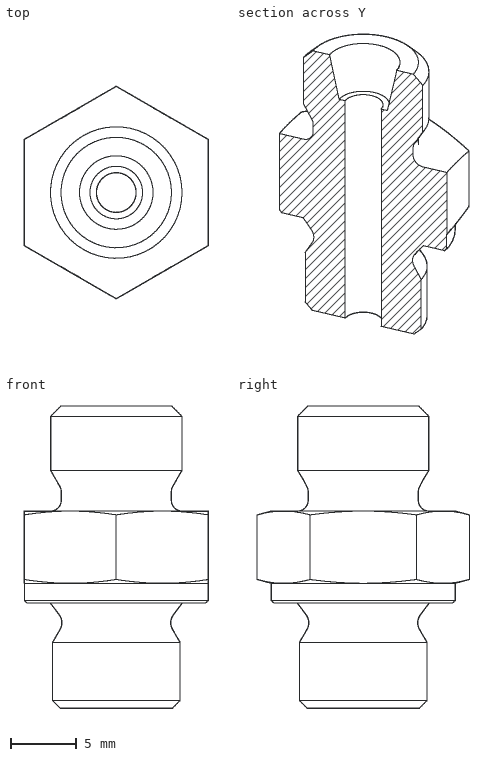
import math

import cadquery as cq

LOWER_STUD_LENGTH = 8.0
FLANGE_HEIGHT = 1.5
HEX_HEIGHT = 5.5
UPPER_STUD_LENGTH = 8.0
FLANGE_TOP = LOWER_STUD_LENGTH + FLANGE_HEIGHT
HEX_TOP = FLANGE_TOP + HEX_HEIGHT
TOTAL_HEIGHT = HEX_TOP + UPPER_STUD_LENGTH

HEX_ACROSS_FLATS = 14.0
HEX_ACROSS_CORNERS = HEX_ACROSS_FLATS / math.cos(math.radians(30))
HEX_CHAMFER_ANGLE = 15.0
HEX_FACE_RADIUS = 6.99
FLANGE_RADIUS = HEX_ACROSS_FLATS / 2
FLANGE_CHAMFER = 0.2

UPPER_STUD_RADIUS = 5.0
UPPER_NECK_RADIUS = 4.2
UPPER_END_CHAMFER = 0.8
UPPER_FILLET_RADIUS = 0.8
UPPER_NECK_STRAIGHT = 0.68

LOWER_STUD_RADIUS = 9.73 / 2
LOWER_END_CHAMFER = 0.6
LOWER_THREAD_LENGTH = 5.0
GROOVE_THROAT_RADIUS = 4.15
GROOVE_ARC_RADIUS = 1.0
GROOVE_FLANGE_ANGLE = 37.0

RUNOUT_ANGLE = 30.0

BORE_RADIUS = 1.5
SOCKET_BOTTOM_RADIUS = 2.0
SOCKET_DEPTH = 3.75
SOCKET_HALF_ANGLE = 12.0


def tan_deg(angle):
    return math.tan(math.radians(angle))


def throat_arc_point(throat_radius, throat_z, arc_radius, angle):
    """Point on a concave arc, at the given angle above its narrowest point."""
    turn = math.radians(angle)
    r = throat_radius + arc_radius * (1 - math.cos(turn))
    z = throat_z + arc_radius * math.sin(turn)
    return (r, z)


def revolve_about_z(profile):
    return profile.close().revolve(360, (0, 0, 0), (0, 1, 0))


def make_lower_stud():
    """Chamfered stud whose groove widens again up to the flange, plus the flange."""
    arc_start_radius = throat_arc_point(GROOVE_THROAT_RADIUS, 0, GROOVE_ARC_RADIUS, -RUNOUT_ANGLE)[0]
    arc_start_z = LOWER_THREAD_LENGTH + (LOWER_STUD_RADIUS - arc_start_radius) / tan_deg(RUNOUT_ANGLE)
    throat_z = arc_start_z + GROOVE_ARC_RADIUS * math.sin(math.radians(RUNOUT_ANGLE))
    arc_end = throat_arc_point(GROOVE_THROAT_RADIUS, throat_z, GROOVE_ARC_RADIUS, GROOVE_FLANGE_ANGLE)
    groove_top_radius = arc_end[0] + (LOWER_STUD_LENGTH - arc_end[1]) * tan_deg(GROOVE_FLANGE_ANGLE)
    profile = (
        cq.Workplane("XZ")
        .moveTo(0, 0)
        .lineTo(LOWER_STUD_RADIUS - LOWER_END_CHAMFER, 0)
        .lineTo(LOWER_STUD_RADIUS, LOWER_END_CHAMFER)
        .lineTo(LOWER_STUD_RADIUS, LOWER_THREAD_LENGTH)
        .lineTo(arc_start_radius, arc_start_z)
        .threePointArc((GROOVE_THROAT_RADIUS, throat_z), arc_end)
        .lineTo(groove_top_radius, LOWER_STUD_LENGTH)
        .lineTo(FLANGE_RADIUS - FLANGE_CHAMFER, LOWER_STUD_LENGTH)
        .lineTo(FLANGE_RADIUS, LOWER_STUD_LENGTH + FLANGE_CHAMFER)
        .lineTo(FLANGE_RADIUS, FLANGE_TOP)
        .lineTo(0, FLANGE_TOP)
    )
    return revolve_about_z(profile)


def make_upper_stud():
    """Chamfered stud with a straight neck that is filleted into the hexagon."""
    fillet_top_z = HEX_TOP + UPPER_FILLET_RADIUS
    fillet_middle = throat_arc_point(UPPER_NECK_RADIUS, fillet_top_z, UPPER_FILLET_RADIUS, -45)
    neck_top_z = fillet_top_z + UPPER_NECK_STRAIGHT
    blend_middle = throat_arc_point(UPPER_NECK_RADIUS, neck_top_z, UPPER_FILLET_RADIUS, RUNOUT_ANGLE / 2)
    blend_end = throat_arc_point(UPPER_NECK_RADIUS, neck_top_z, UPPER_FILLET_RADIUS, RUNOUT_ANGLE)
    runout_top_z = blend_end[1] + (UPPER_STUD_RADIUS - blend_end[0]) / tan_deg(RUNOUT_ANGLE)
    profile = (
        cq.Workplane("XZ")
        .moveTo(0, HEX_TOP)
        .lineTo(UPPER_NECK_RADIUS + UPPER_FILLET_RADIUS, HEX_TOP)
        .threePointArc(fillet_middle, (UPPER_NECK_RADIUS, fillet_top_z))
        .lineTo(UPPER_NECK_RADIUS, neck_top_z)
        .threePointArc(blend_middle, blend_end)
        .lineTo(UPPER_STUD_RADIUS, runout_top_z)
        .lineTo(UPPER_STUD_RADIUS, TOTAL_HEIGHT - UPPER_END_CHAMFER)
        .lineTo(UPPER_STUD_RADIUS - UPPER_END_CHAMFER, TOTAL_HEIGHT)
        .lineTo(0, TOTAL_HEIGHT)
    )
    return revolve_about_z(profile)


def make_hexagon():
    """Hexagon with corners on the Y axis, its corners cut conically at both ends."""
    prism = (
        cq.Workplane("XY", origin=(0, 0, FLANGE_TOP))
        .transformed(rotate=(0, 0, 90))
        .polygon(6, HEX_ACROSS_CORNERS)
        .extrude(HEX_HEIGHT)
    )
    corner_radius = HEX_ACROSS_CORNERS / 2
    corner_drop = (corner_radius - HEX_FACE_RADIUS) * tan_deg(HEX_CHAMFER_ANGLE)
    profile = (
        cq.Workplane("XZ")
        .moveTo(0, FLANGE_TOP)
        .lineTo(HEX_FACE_RADIUS, FLANGE_TOP)
        .lineTo(corner_radius, FLANGE_TOP + corner_drop)
        .lineTo(corner_radius, HEX_TOP - corner_drop)
        .lineTo(HEX_FACE_RADIUS, HEX_TOP)
        .lineTo(0, HEX_TOP)
    )
    return prism.intersect(revolve_about_z(profile))


def make_bore():
    """Through bore that opens into the tapered socket at the upper end."""
    socket_bottom_z = TOTAL_HEIGHT - SOCKET_DEPTH
    socket_mouth_radius = SOCKET_BOTTOM_RADIUS + SOCKET_DEPTH * tan_deg(SOCKET_HALF_ANGLE)
    profile = (
        cq.Workplane("XZ")
        .moveTo(0, 0)
        .lineTo(BORE_RADIUS, 0)
        .lineTo(BORE_RADIUS, socket_bottom_z)
        .lineTo(SOCKET_BOTTOM_RADIUS, socket_bottom_z)
        .lineTo(socket_mouth_radius, TOTAL_HEIGHT)
        .lineTo(0, TOTAL_HEIGHT)
    )
    return revolve_about_z(profile)


body = make_lower_stud().union(make_hexagon()).union(make_upper_stud())
result = body.cut(make_bore())